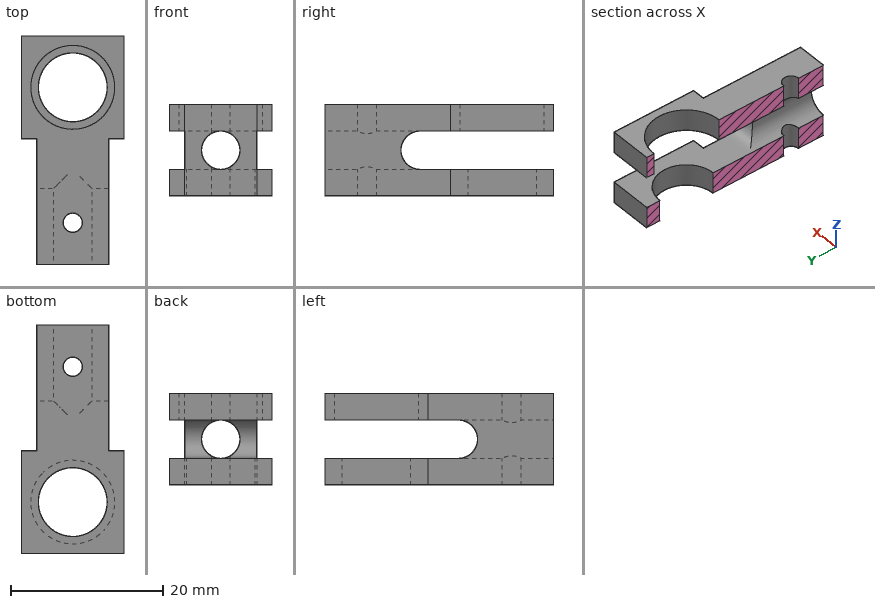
import cadquery as cq

length = 30.0
height = 12.0
head_width = 13.5
head_length = 13.5
shank_width = 9.5

slot_height = 5.0
slot_depth = 20.0

upper_bore_diameter = 11.0
lower_bore_diameter = 9.0
rod_hole_diameter = 5.0
pin_hole_diameter = 2.5
pin_from_front = 5.5

front_y = -length / 2
back_y = length / 2
head_center_y = back_y - head_length / 2
slot_end_y = back_y - slot_depth
slot_center_y = slot_end_y + slot_height / 2


def vertical_cylinder(diameter, y, bottom_z, top_z):
    """Cylinder along Z on the part's center plane."""
    base = cq.Workplane("XY", origin=(0, y, bottom_z))
    return base.circle(diameter / 2).extrude(top_z - bottom_z)


def make_body():
    """Square head joined to the full-length shank."""
    shank = cq.Workplane("XY").box(shank_width, length, height)
    head = cq.Workplane("XY").box(head_width, head_length, height)
    return shank.union(head.translate((0, head_center_y, 0)))


def make_slot():
    """Slot across X, open at the back and round at its inner end."""
    half_height = slot_height / 2
    return (
        cq.Workplane("YZ")
        .moveTo(back_y, -half_height)
        .lineTo(slot_center_y, -half_height)
        .threePointArc((slot_end_y, 0), (slot_center_y, half_height))
        .lineTo(back_y, half_height)
        .close()
        .extrude(head_width / 2, both=True)
    )


def make_rod_hole():
    """Hole along Y from the front face into the slot."""
    front = cq.Workplane("XZ", origin=(0, front_y, 0))
    return front.circle(rod_hole_diameter / 2).extrude(front_y - slot_center_y)


upper_bore = vertical_cylinder(upper_bore_diameter, head_center_y, 0, height / 2)
lower_bore = vertical_cylinder(lower_bore_diameter, head_center_y, -height / 2, 0)
pin_hole = vertical_cylinder(pin_hole_diameter, front_y + pin_from_front, -height / 2, height / 2)

result = (
    make_body()
    .cut(make_slot())
    .cut(upper_bore)
    .cut(lower_bore)
    .cut(make_rod_hole())
    .cut(pin_hole)
)